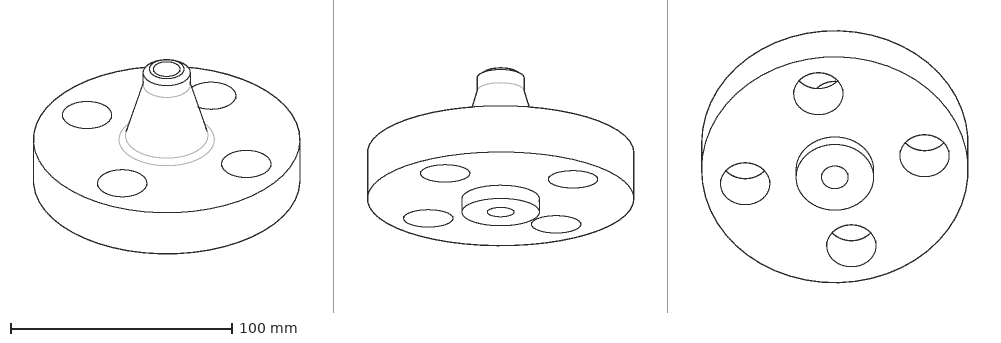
import cadquery as cq

flange_diameter = 120.6
flange_thickness = 22.3
bolt_hole_diameter = 22.3
bolt_circle_diameter = 82.5
bolt_count = 4

face_diameter = 35.1
face_height = 6.4

total_height = 66.8
neck_base_diameter = 38.6
neck_tip_diameter = 21.3
tip_length = 8.3
bevel_height = 1.9
bevel_top_diameter = 15.7
root_fillet_radius = 3.0
root_margin = 0.1
bore_diameter = 12.1

disc_top = face_height + flange_thickness
collar_bottom = total_height - tip_length
bevel_bottom = total_height - bevel_height


def make_body():
    """Revolve the disc, sealing face and tapered neck about Z."""
    profile = (
        cq.Workplane("XZ")
        .moveTo(0, 0)
        .lineTo(face_diameter / 2, 0)
        .lineTo(face_diameter / 2, face_height)
        .lineTo(flange_diameter / 2, face_height)
        .lineTo(flange_diameter / 2, disc_top)
        .lineTo(neck_base_diameter / 2, disc_top)
        .lineTo(neck_tip_diameter / 2, collar_bottom)
        .lineTo(neck_tip_diameter / 2, bevel_bottom)
        .lineTo(bevel_top_diameter / 2, total_height)
        .lineTo(0, total_height)
        .close()
    )
    return profile.revolve(360, (0, 0, 0), (0, 1, 0))


def fillet_neck_root(body):
    """Round the inside corner where the neck meets the disc."""
    reach = neck_base_diameter / 2 + root_margin
    near_root = cq.selectors.BoxSelector(
        (-reach, -reach, disc_top - root_margin),
        (reach, reach, disc_top + root_margin),
        boundingbox=True,
    )
    return body.edges(near_root).fillet(root_fillet_radius)


def cut_bore(body):
    """Drill the bore along the full length of the part."""
    bore = cq.Workplane("XY").circle(bore_diameter / 2).extrude(total_height)
    return body.cut(bore)


def cut_bolt_holes(body):
    """Drill the ring of bolt holes through the disc."""
    holes = (
        cq.Workplane("XY")
        .polarArray(bolt_circle_diameter / 2, 0, 360, bolt_count)
        .circle(bolt_hole_diameter / 2)
        .extrude(disc_top)
    )
    return body.cut(holes)


flange = make_body()
flange = fillet_neck_root(flange)
flange = cut_bore(flange)
result = cut_bolt_holes(flange)